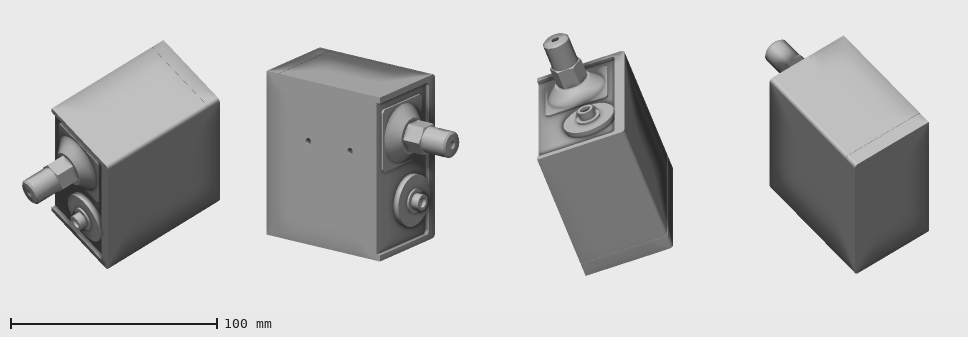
import cadquery as cq
import math

total_length = 97.0

width = 45.1
height = 84.0
stud_tip = 28.9
depth = total_length - stud_tip
corner_radius = 2.0
back_plate = 7.0
seam_width = 0.3
seam_depth = 0.2

rim = 3.1
side_rim = 5.0
recess_depth = 2.1

fitting_inset = 24.0

stud_x = 20.0
stud_z = height - fitting_inset
panel_size = 32.0
panel_thickness = 1.1
cone_base_diameter = 30.0
cone_tip_diameter = 18.0
hex_across_flats = 14.0
hex_length = 10.0
hex_chamfer_angle = 20.0
stud_diameter = 13.2
stud_chamfer = 1.0
stud_bore = 4.0

nipple_x = 27.0
nipple_z = fitting_inset
disc_diameter = 26.0
disc_thickness = 3.0
collar_diameter = 12.0
collar_thickness = 1.0
nipple_diameter = 8.0
nipple_length = 4.2
nipple_bore = 5.0

side_hole_diameter = 3.2
side_hole_depth = 6.0
side_hole_z = 53.0
side_hole_front_y = 18.0
side_hole_spacing = 25.0


def rod(x, z, diameter, start_y, length):
    """Cylinder along Y, growing from start_y towards -Y."""
    plane = cq.Workplane("XZ", origin=(x, start_y, z))
    return plane.circle(diameter / 2).extrude(length)


def block(x_size, y_size, z_size):
    """Box with its low corner at the origin."""
    return cq.Workplane("XY").box(x_size, y_size, z_size, centered=False)


def make_housing():
    """Block with rounded +X edges and a thin seam around its back plate."""
    body = block(width, depth, height).edges("|Y and >X").fillet(corner_radius)
    core = (
        block(width - 2 * seam_depth, seam_width, height - 2 * seam_depth)
        .edges("|Y and >X").fillet(corner_radius - seam_depth)
        .translate((seam_depth, 0, seam_depth))
    )
    seam = block(width, seam_width, height).cut(core)
    return body.cut(seam.translate((0, depth - back_plate - seam_width, 0)))


def make_recess():
    """Shallow pocket that leaves a rim at the top, the bottom and the +X side."""
    pocket = block(width - side_rim, recess_depth, height - 2 * rim)
    pocket = pocket.edges("|Y and >X").fillet(corner_radius)
    return pocket.translate((0, 0, rim))


def make_hexagon(start_y):
    """Hexagon with corners along X, the corners turned off conically at both ends."""
    across_corners = hex_across_flats / math.cos(math.radians(30))
    corner_excess = (across_corners - hex_across_flats) / 2
    chamfer_length = corner_excess * math.tan(math.radians(hex_chamfer_angle))
    prism = (
        cq.Workplane("XZ", origin=(stud_x, start_y, stud_z))
        .polygon(6, across_corners)
        .extrude(hex_length)
    )
    turned = (
        rod(stud_x, stud_z, across_corners, start_y, hex_length)
        .faces("|Y").chamfer(chamfer_length, corner_excess)
    )
    return prism.intersect(turned)


def make_stud_fitting():
    """Panel, 45 degree cone, hexagon and bored stud in one stack."""
    panel = (
        cq.Workplane("XZ", origin=(stud_x, recess_depth, stud_z))
        .rect(panel_size, panel_size)
        .extrude(panel_thickness)
        .edges("|Y").fillet(corner_radius)
    )
    cone_start = recess_depth - panel_thickness
    cone_length = (cone_base_diameter - cone_tip_diameter) / 2
    cone = (
        cq.Workplane("XZ", origin=(stud_x, cone_start, stud_z))
        .circle(cone_base_diameter / 2)
        .workplane(offset=cone_length)
        .circle(cone_tip_diameter / 2)
        .loft(ruled=True)
    )
    hex_start = cone_start - cone_length
    stud_start = hex_start - hex_length
    stud = (
        rod(stud_x, stud_z, stud_diameter, stud_start, stud_start + stud_tip)
        .faces("<Y").chamfer(stud_chamfer)
    )
    bore = rod(stud_x, stud_z, stud_bore, recess_depth, recess_depth + stud_tip)
    return panel.union(cone).union(make_hexagon(hex_start)).union(stud).cut(bore)


def make_nipple_fitting():
    """Disc, collar and nipple, bored down to the recess floor."""
    steps = [
        (disc_diameter, disc_thickness),
        (collar_diameter, collar_thickness),
        (nipple_diameter, nipple_length),
    ]
    fitting = cq.Workplane("XZ")
    y = recess_depth
    for diameter, length in steps:
        fitting = fitting.union(rod(nipple_x, nipple_z, diameter, y, length))
        y -= length
    return fitting.cut(rod(nipple_x, nipple_z, nipple_bore, recess_depth, recess_depth - y))


def make_side_holes():
    """Two blind holes along X in the -X side."""
    return (
        cq.Workplane("YZ")
        .pushPoints([
            (side_hole_front_y, side_hole_z),
            (side_hole_front_y + side_hole_spacing, side_hole_z),
        ])
        .circle(side_hole_diameter / 2)
        .extrude(side_hole_depth)
    )


result = (
    make_housing()
    .cut(make_recess())
    .cut(make_side_holes())
    .union(make_stud_fitting())
    .union(make_nipple_fitting())
)